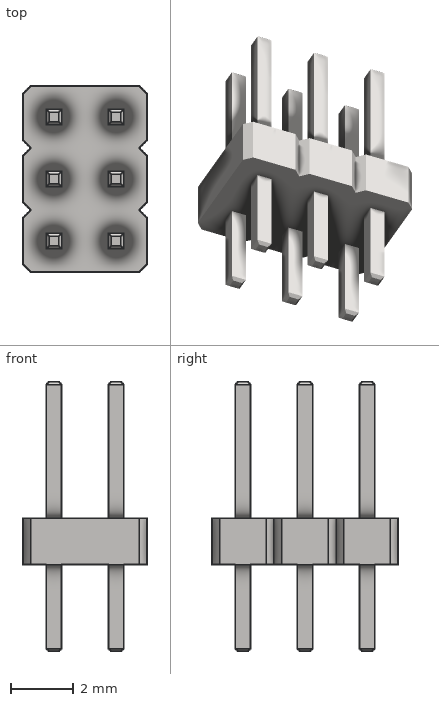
import cadquery as cq

pitch = 2.0
columns = 2
rows = 3

total_height = 8.7
pin_width = pitch / 4
tip_cut = 0.1
tail_length = 2.8

housing_width = columns * pitch
housing_length = rows * pitch
housing_height = 1.5
corner_cut = 0.25


def make_cell_row(center_y):
    """One row of the housing, with its four vertical corners cut at 45 degrees."""
    return (
        cq.Workplane("XY")
        .center(0, center_y)
        .rect(housing_width, pitch)
        .extrude(housing_height)
        .edges("|Z")
        .chamfer(corner_cut)
    )


def make_housing():
    """Rows joined side by side; the corner cuts leave V notches between them."""
    housing = (
        cq.Workplane("XY")
        .rect(housing_width - 2 * corner_cut, housing_length)
        .extrude(housing_height)
    )
    for row in range(rows):
        row_y = (row - (rows - 1) / 2) * pitch
        housing = housing.union(make_cell_row(row_y))
    return housing.clean()


def make_pins():
    """Square pins standing at every grid position, chamfered at both tips."""
    return (
        cq.Workplane("XY", origin=(0, 0, -tail_length))
        .rarray(pitch, pitch, columns, rows)
        .rect(pin_width, pin_width)
        .extrude(total_height)
        .faces("<Z or >Z")
        .chamfer(tip_cut)
    )


result = make_housing().union(make_pins())